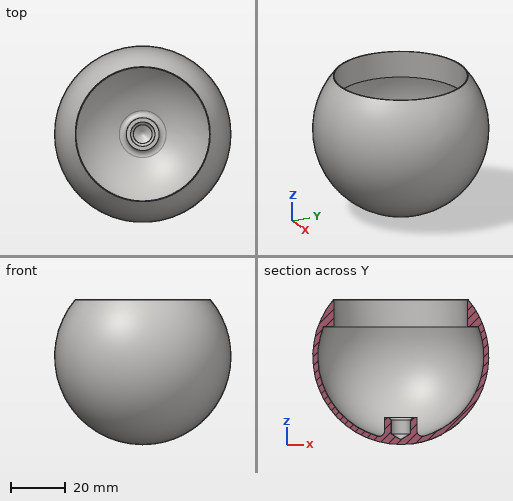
import cadquery as cq
import math

ball_radius = 32.25
height = 53.0
wall = 2.0
rim_z = height - ball_radius
cavity_radius = ball_radius - wall

mouth_radius = 24.4
collar_depth = 10.0
collar_z = rim_z - collar_depth

boss_radius = 6.0
boss_top_height = 10.0
boss_fillet = 2.0
boss_top_z = boss_top_height - ball_radius

hole_radius = 3.4
countersink_radius = 4.45
hole_depth = 6.0
drill_point_angle = 118.0
countersink_depth = countersink_radius - hole_radius
drill_point_depth = hole_radius / math.tan(math.radians(drill_point_angle / 2))


def ball_below(radius, top_z):
    """Ball of the given radius with everything above top_z cut off."""
    bottom_z = -radius
    top_radius = math.sqrt(radius**2 - top_z**2)
    return (
        cq.Workplane("XZ")
        .moveTo(0, bottom_z)
        .threePointArc((radius, 0), (top_radius, top_z))
        .lineTo(0, top_z)
        .close()
        .revolve(360, (0, 0), (0, 1))
    )


def cylinder_between(radius, bottom_z, top_z):
    """Vertical cylinder on the Z axis."""
    return cq.Workplane("XY").workplane(offset=bottom_z).circle(radius).extrude(top_z - bottom_z)


def filleted_boss():
    """Boss whose foot runs into the cavity floor with a round tangent to both."""
    centre_r = boss_radius + boss_fillet
    centre_distance = cavity_radius - boss_fillet
    centre_z = -math.sqrt(centre_distance**2 - centre_r**2)

    foot_r = centre_r * cavity_radius / centre_distance
    foot_z = centre_z * cavity_radius / centre_distance

    floor_angle = math.atan2(foot_z, foot_r)
    middle_angle = (floor_angle - math.pi) / 2
    middle_r = centre_r + boss_fillet * math.cos(middle_angle)
    middle_z = centre_z + boss_fillet * math.sin(middle_angle)

    root_z = wall / 2 - ball_radius
    return (
        cq.Workplane("XZ")
        .moveTo(0, root_z)
        .lineTo(boss_radius, root_z)
        .lineTo(foot_r, foot_z)
        .threePointArc((middle_r, middle_z), (boss_radius, centre_z))
        .lineTo(boss_radius, boss_top_z)
        .lineTo(0, boss_top_z)
        .close()
        .revolve(360, (0, 0), (0, 1))
    )


def boss_hole():
    """Countersunk blind hole, as a solid to cut away."""
    floor_z = boss_top_z - hole_depth
    return (
        cq.Workplane("XZ")
        .moveTo(0, boss_top_z)
        .lineTo(countersink_radius, boss_top_z)
        .lineTo(hole_radius, boss_top_z - countersink_depth)
        .lineTo(hole_radius, floor_z)
        .lineTo(0, floor_z - drill_point_depth)
        .close()
        .revolve(360, (0, 0), (0, 1))
    )


shell = ball_below(ball_radius, rim_z).cut(ball_below(cavity_radius, collar_z))
shell = shell.cut(cylinder_between(mouth_radius, 0, rim_z))
result = shell.union(filleted_boss()).cut(boss_hole())